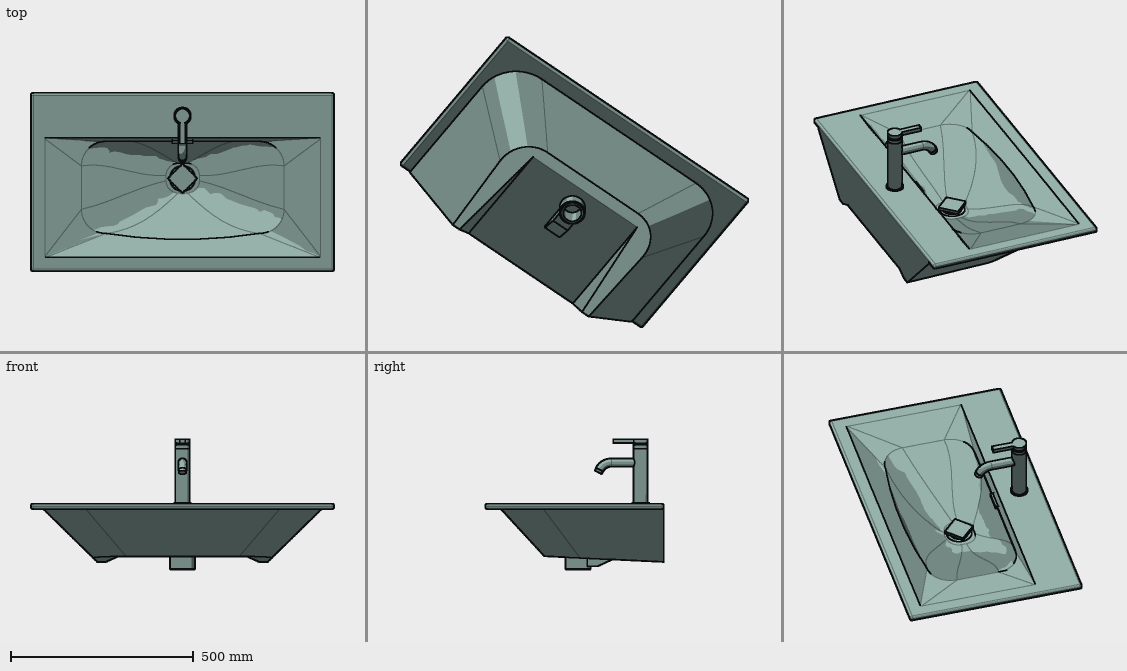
import cadquery as cq
import math

deck_width = 830.0
deck_depth = 489.0
deck_thickness = 16.0
rim_round = 7.0
back_y = deck_depth / 2

body_half_width = 380.0
body_front_y = -201.0
body_corner = 116.0
body_height = 145.0
side_taper = 1.02
front_taper = 0.92
body_base_corner = 91.0
base_back_z = -160.0
base_front_y = -83.0
base_front_z = -144.5
recess_z = -146.0
recess_half_width = 178.5
recess_flare = 33.0

floor_z = -116.0
bowl_rings = [
    (377.0, 121.0, -206.0, 2.5, 1.0, 0.0),
    (277.0, 111.0, -157.0, 66.0, 17.0, -23.0),
    (178.5, 104.5, -120.0, 66.0, 12.5, -66.0),
    (95.5, 70.5, -66.0, 50.0, 7.0, -104.0),
    (46.0, 51.5, -31.5, 33.0, 2.5, floor_z),
]

drain_y = 10.0
drain_radius = 35.0
drain_bore_radius = 25.0
drain_bottom_z = -182.0
drain_chamfer = 3.0
plug_side = 57.0
plug_turn = 45.0
plug_top_z = -100.0
plug_thickness = 8.0
plug_neck_length = 21.0

overflow_width = 55.0
overflow_height = 7.5
overflow_z = -21.5
overflow_face_y = 106.0
overflow_depth = 13.0
duct_width = 50.0
duct_back_y = 101.0
duct_back_z = -154.0
duct_knee_y = 64.0
duct_knee_z = -172.0

tap_y = 181.0
column_radius = 20.0
column_top_z = 150.0
escutcheon_radius = 23.0
escutcheon_thickness = 2.5
spout_radius = 12.0
spout_z = 112.0
spout_straight_end_y = 100.5
spout_bend_radius = 36.0
spout_bend_angle = 63.0
aerator_radius = 11.0
aerator_length = 8.0
handle_top_z = 176.0
lever_thickness = 11.0
lever_width = 15.0
lever_end_y = 105.0
neck_radius = 16.0
cap_thickness = 10.0


def corner_bend(corner):
    """Distance from the sides of a square corner to the middle of its rounding arc, along X or Y."""
    return corner * (1 - math.sqrt(0.5))


def bowl_outline(half_width, back, front, corner, bulge, z):
    """Horizontal wire at height z with rounded corners and a front edge bowed out by bulge."""
    bend = corner_bend(corner)
    shoulder = front + bulge
    return (
        cq.Workplane("XY", origin=(0, 0, z))
        .moveTo(corner - half_width, back)
        .lineTo(half_width - corner, back)
        .threePointArc((half_width - bend, back - bend), (half_width, back - corner))
        .lineTo(half_width, shoulder + corner)
        .threePointArc((half_width - bend, shoulder + bend), (half_width - corner, shoulder))
        .threePointArc((0, front), (corner - half_width, shoulder))
        .threePointArc((bend - half_width, shoulder + bend), (-half_width, shoulder + corner))
        .lineTo(-half_width, back - corner)
        .threePointArc((bend - half_width, back - bend), (corner - half_width, back))
        .close()
        .wires()
        .val()
    )


def body_outline(half_width, front, corner, z):
    """Horizontal wire with a straight back edge and two rounded front corners."""
    bend = corner_bend(corner)
    return (
        cq.Workplane("XY", origin=(0, 0, z))
        .moveTo(-half_width, back_y)
        .lineTo(-half_width, front + corner)
        .threePointArc((-half_width + bend, front + bend), (-half_width + corner, front))
        .lineTo(half_width - corner, front)
        .threePointArc((half_width - bend, front + bend), (half_width, front + corner))
        .lineTo(half_width, back_y)
        .close()
        .wires()
        .val()
    )


def cylinder(radius, y, bottom, top):
    """Upright cylinder on the middle plane of the basin."""
    return cq.Workplane("XY", origin=(0, y, bottom)).circle(radius).extrude(top - bottom)


def side_prism(points, width):
    """Prism of a (Y, Z) outline, centred on the middle plane."""
    return cq.Workplane("YZ").polyline(points).close().extrude(width / 2, both=True)


def make_deck():
    deck = cq.Workplane("XY").box(deck_width, deck_depth, deck_thickness, centered=(True, True, False))
    deck = deck.translate((0, 0, -deck_thickness)).edges("|Z").fillet(rim_round)
    return deck.faces(">Z or <Z").edges().fillet(rim_round)


def make_underside():
    """Tapered body, trimmed by a sloping base plane and recessed between two side rails."""
    top_z = -deck_thickness / 2
    base_z = -deck_thickness - body_height
    top = body_outline(body_half_width, body_front_y, body_corner, top_z)
    base = body_outline(
        body_half_width - side_taper * body_height,
        body_front_y + front_taper * body_height,
        body_base_corner,
        base_z,
    )
    mouth = body_outline(body_half_width, body_front_y, body_corner, -deck_thickness)
    body = cq.Workplane(cq.Solid.makeLoft([mouth, base], True))
    collar = cq.Workplane(cq.Solid.makeLoft([top, mouth], True))

    slope = (base_front_z - base_back_z) / (base_front_y - back_y)
    far_z = base_back_z + slope * (body_front_y - back_y)
    below = side_prism(
        [(back_y, base_back_z), (body_front_y, far_z), (body_front_y, 2 * base_z), (back_y, 2 * base_z)],
        deck_width,
    )
    recess = (
        cq.Workplane("XZ", origin=(0, back_y, 0))
        .moveTo(-recess_half_width, recess_z)
        .lineTo(recess_half_width, recess_z)
        .lineTo(recess_half_width + recess_flare, base_z)
        .lineTo(-recess_half_width - recess_flare, base_z)
        .close()
        .extrude(deck_depth)
    )
    return body.cut(below).cut(recess).union(collar)


def make_bowl():
    """Space taken out of the deck: the dish and the deep bowl under it."""
    mouth, shoulder, wall, lower, floor = [bowl_outline(*ring) for ring in bowl_rings]
    dish = cq.Workplane(cq.Solid.makeLoft([mouth, shoulder], True))
    return dish.union(cq.Workplane(cq.Solid.makeLoft([shoulder, wall, lower, floor], False)))


def make_duct():
    """Overflow channel that hangs under the basin behind the drain."""
    return side_prism(
        [
            (duct_back_y, recess_z),
            (duct_back_y, duct_back_z),
            (duct_knee_y, duct_knee_z),
            (drain_y, duct_knee_z),
            (drain_y, recess_z),
        ],
        duct_width,
    )


def make_overflow_cover():
    cover = cq.Workplane("XY").box(
        overflow_width, overflow_depth, overflow_height, centered=(True, False, True)
    )
    return cover.translate((0, overflow_face_y, overflow_z))


def make_drain():
    outer = cylinder(drain_radius, drain_y, drain_bottom_z, floor_z)
    outer = outer.faces("<Z").chamfer(drain_chamfer)
    return outer.cut(cylinder(drain_bore_radius, drain_y, drain_bottom_z, floor_z))


def make_plug():
    """Square cover turned cornerwise, with a round neck closing the drain bore."""
    cover_z = plug_top_z - plug_thickness
    cover = cq.Workplane("XY").rect(plug_side, plug_side).extrude(plug_thickness)
    cover = cover.rotate((0, 0, 0), (0, 0, 1), plug_turn).translate((0, drain_y, cover_z))
    return cover.union(cylinder(drain_bore_radius, drain_y, cover_z - plug_neck_length, cover_z))


def make_basin():
    basin = make_deck().union(make_underside()).cut(make_bowl()).union(make_duct())
    drain_hole = cylinder(drain_radius, drain_y, drain_bottom_z, plug_top_z)
    return basin.cut(drain_hole).cut(make_overflow_cover())


def spout_tip():
    """Centre (Y, Z) of the end of the spout bend."""
    turn = math.radians(spout_bend_angle)
    return (
        spout_straight_end_y - spout_bend_radius * math.sin(turn),
        spout_z - spout_bend_radius * (1 - math.cos(turn)),
    )


def make_tap():
    column = cylinder(column_radius, tap_y, escutcheon_thickness, column_top_z)
    half_turn = math.radians(spout_bend_angle / 2)
    bend_middle = (
        spout_straight_end_y - spout_bend_radius * math.sin(half_turn),
        spout_z - spout_bend_radius * (1 - math.cos(half_turn)),
    )
    path = (
        cq.Workplane("YZ")
        .moveTo(tap_y, spout_z)
        .lineTo(spout_straight_end_y, spout_z)
        .threePointArc(bend_middle, spout_tip())
    )
    spout = cq.Workplane("XZ", origin=(0, tap_y, spout_z)).circle(spout_radius).sweep(path)
    return column.union(spout)


def make_aerator():
    turn = math.radians(spout_bend_angle)
    tip_y, tip_z = spout_tip()
    end = cq.Plane(origin=(0, tip_y, tip_z), xDir=(1, 0, 0), normal=(0, -math.cos(turn), -math.sin(turn)))
    return cq.Workplane(end).circle(aerator_radius).extrude(aerator_length)


def make_handle():
    """Cap, waisted neck and top disc with a lever reaching forward."""
    cap_top_z = column_top_z + cap_thickness
    disc_z = handle_top_z - lever_thickness
    lever = cq.Workplane("XY", origin=(0, (tap_y + lever_end_y) / 2, disc_z))
    lever = lever.rect(lever_width, tap_y - lever_end_y).extrude(lever_thickness)
    return (
        cylinder(column_radius, tap_y, column_top_z, cap_top_z)
        .union(cylinder(neck_radius, tap_y, cap_top_z, disc_z))
        .union(cylinder(column_radius, tap_y, disc_z, handle_top_z))
        .union(lever)
    )


basin = make_basin()
drain = make_drain()
plug = make_plug()
overflow_cover = make_overflow_cover()
escutcheon = cylinder(escutcheon_radius, tap_y, 0, escutcheon_thickness)
tap = make_tap()
aerator = make_aerator()
handle = make_handle()

result = cq.Compound.makeCompound(
    [
        basin.val(),
        drain.val(),
        plug.val(),
        overflow_cover.val(),
        escutcheon.val(),
        tap.val(),
        aerator.val(),
        handle.val(),
    ]
)